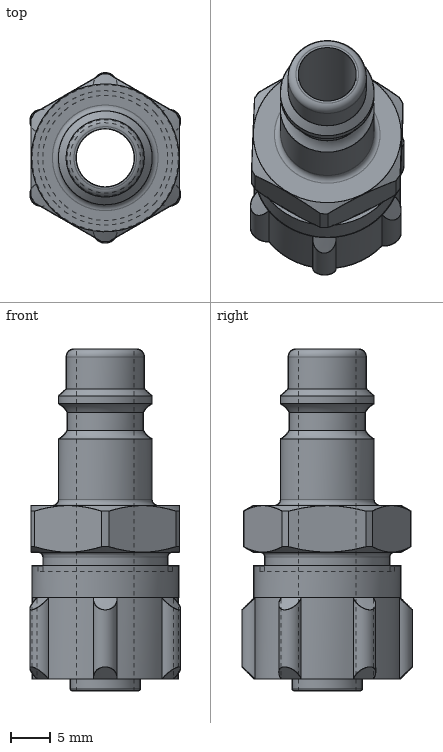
import cadquery as cq
import math

TIP_LENGTH = 1.5
KNOB_HEIGHT = 10.4
COLLAR_HEIGHT = 4.1
COLLAR_RECESS_DEPTH = 0.75
NECK_HEIGHT = 1.7
HEX_HEIGHT = 6.0
BODY_LENGTH = 8.5
GROOVE_LENGTH = 4.5
RING_LAND = 1.0
NOSE_LENGTH = 5.1
RING_CONE_HEIGHT = 0.9

KNOB_BOTTOM = TIP_LENGTH
KNOB_TOP = KNOB_BOTTOM + KNOB_HEIGHT
COLLAR_TOP = KNOB_TOP + COLLAR_HEIGHT
COLLAR_RECESS_FLOOR = COLLAR_TOP - COLLAR_RECESS_DEPTH
HEX_BOTTOM = COLLAR_TOP + NECK_HEIGHT
HEX_TOP = HEX_BOTTOM + HEX_HEIGHT
BODY_TOP = HEX_TOP + BODY_LENGTH
RING_BOTTOM = BODY_TOP + GROOVE_LENGTH
RING_TOP = RING_BOTTOM + RING_LAND
NOSE_BOTTOM = RING_TOP + RING_CONE_HEIGHT
NOSE_TOP = NOSE_BOTTOM + NOSE_LENGTH

BORE_DIAMETER = 7.4
TIP_DIAMETER = 9.0
KNOB_DIAMETER = 18.7
COLLAR_DIAMETER = 18.8
COLLAR_RECESS_DIAMETER = 17.2
NECK_DIAMETER = 16.0
BODY_DIAMETER = 12.0
GROOVE_DIAMETER = 9.75
NOSE_DIAMETER = 10.0

TIP_ROUND = 0.3
NECK_FILLET = 0.6
BODY_FILLET = 0.75
NOSE_ROUND = 1.0
GROOVE_FLANK_HEIGHT = 1.1
GROOVE_FLANK_SAG = 0.12

HEX_SIDES = 6
HEX_ACROSS_FLATS = 19.0
HEX_CORNER_DIAMETER = 21.4
HEX_CHAMFER_DIAMETER = 18.9
HEX_CHAMFER_ANGLE = 30.0

RIB_COUNT = 6
RIB_DIAMETER = 3.0
RIB_TIP_DIAMETER = 21.8
RIB_FIRST_ANGLE = 90.0


def cylinder(diameter, bottom, top):
    """Solid cylinder on the Z axis between two heights."""
    return cq.Workplane("XY").workplane(offset=bottom).circle(diameter / 2).extrude(top - bottom)


def double_cone(end_diameter, middle_diameter, bottom, top, end_height):
    """Cylinder on the Z axis whose two ends taper down to end_diameter."""
    return (
        cq.Workplane("XZ")
        .moveTo(0, bottom)
        .lineTo(end_diameter / 2, bottom)
        .lineTo(middle_diameter / 2, bottom + end_height)
        .lineTo(middle_diameter / 2, top - end_height)
        .lineTo(end_diameter / 2, top)
        .lineTo(0, top)
        .close()
        .revolve(360, (0, 0, 0), (0, 1, 0))
    )


def make_tip():
    """Short tube end below the knob; it reaches into the knob by one tip length."""
    return cylinder(TIP_DIAMETER, 0, KNOB_BOTTOM + TIP_LENGTH).faces("<Z").edges().fillet(TIP_ROUND)


def make_knob():
    """Union nut: a round core with axial grip ribs, chamfered at 45 degrees at both ends."""
    core = cylinder(KNOB_DIAMETER, KNOB_BOTTOM, KNOB_TOP)
    rib_circle_radius = (RIB_TIP_DIAMETER - RIB_DIAMETER) / 2
    ribs = (
        cq.Workplane("XY")
        .workplane(offset=KNOB_BOTTOM)
        .polarArray(rib_circle_radius, RIB_FIRST_ANGLE, 360, RIB_COUNT)
        .circle(RIB_DIAMETER / 2)
        .extrude(KNOB_HEIGHT)
    )
    chamfer_height = (RIB_TIP_DIAMETER - KNOB_DIAMETER) / 2
    rib_limit = double_cone(KNOB_DIAMETER, RIB_TIP_DIAMETER, KNOB_BOTTOM, KNOB_TOP, chamfer_height)
    return core.union(ribs.intersect(rib_limit))


def make_collar():
    """Plain ring above the knob with a round recess in its top that leaves a gap around the neck."""
    ring = cylinder(COLLAR_DIAMETER, KNOB_TOP, COLLAR_TOP)
    return ring.cut(cylinder(COLLAR_RECESS_DIAMETER, COLLAR_RECESS_FLOOR, COLLAR_TOP))


def make_hexagon():
    """Wrench hexagon, corners along Y, with turned corners and chamfers on both faces."""
    half_side_angle = 180 / HEX_SIDES
    prism = (
        cq.Workplane("XY")
        .workplane(offset=HEX_BOTTOM)
        .polygon(HEX_SIDES, HEX_ACROSS_FLATS / math.cos(math.radians(half_side_angle)))
        .extrude(HEX_HEIGHT)
        .rotate((0, 0, 0), (0, 0, 1), half_side_angle)
    )
    chamfer_width = (HEX_CORNER_DIAMETER - HEX_CHAMFER_DIAMETER) / 2
    chamfer_height = chamfer_width * math.tan(math.radians(HEX_CHAMFER_ANGLE))
    turned_blank = double_cone(
        HEX_CHAMFER_DIAMETER, HEX_CORNER_DIAMETER, HEX_BOTTOM, HEX_TOP, chamfer_height
    )
    return prism.intersect(turned_blank)


def make_neck():
    """Neck from the floor of the collar recess to the hexagon, filleted into the hexagon."""
    radius = NECK_DIAMETER / 2
    return (
        cq.Workplane("XZ")
        .moveTo(0, COLLAR_RECESS_FLOOR)
        .lineTo(radius, COLLAR_RECESS_FLOOR)
        .lineTo(radius, HEX_BOTTOM - NECK_FILLET)
        .radiusArc((radius + NECK_FILLET, HEX_BOTTOM), NECK_FILLET)
        .lineTo(0, HEX_BOTTOM)
        .close()
        .revolve(360, (0, 0, 0), (0, 1, 0))
    )


def make_plug():
    """Plug profile: filleted body, locking groove with hollow flanks, ring and rounded nose."""
    body_radius = BODY_DIAMETER / 2
    groove_radius = GROOVE_DIAMETER / 2
    nose_radius = NOSE_DIAMETER / 2
    return (
        cq.Workplane("XZ")
        .moveTo(0, HEX_TOP)
        .lineTo(body_radius + BODY_FILLET, HEX_TOP)
        .radiusArc((body_radius, HEX_TOP + BODY_FILLET), BODY_FILLET)
        .lineTo(body_radius, BODY_TOP)
        .sagittaArc((groove_radius, BODY_TOP + GROOVE_FLANK_HEIGHT), GROOVE_FLANK_SAG)
        .lineTo(groove_radius, RING_BOTTOM - GROOVE_FLANK_HEIGHT)
        .sagittaArc((body_radius, RING_BOTTOM), GROOVE_FLANK_SAG)
        .lineTo(body_radius, RING_TOP)
        .lineTo(nose_radius, NOSE_BOTTOM)
        .lineTo(nose_radius, NOSE_TOP - NOSE_ROUND)
        .radiusArc((nose_radius - NOSE_ROUND, NOSE_TOP), -NOSE_ROUND)
        .lineTo(0, NOSE_TOP)
        .close()
        .revolve(360, (0, 0, 0), (0, 1, 0))
    )


bore = cylinder(BORE_DIAMETER, 0, NOSE_TOP)

result = (
    make_tip()
    .union(make_knob())
    .union(make_collar())
    .union(make_neck())
    .union(make_hexagon())
    .union(make_plug())
    .cut(bore)
)